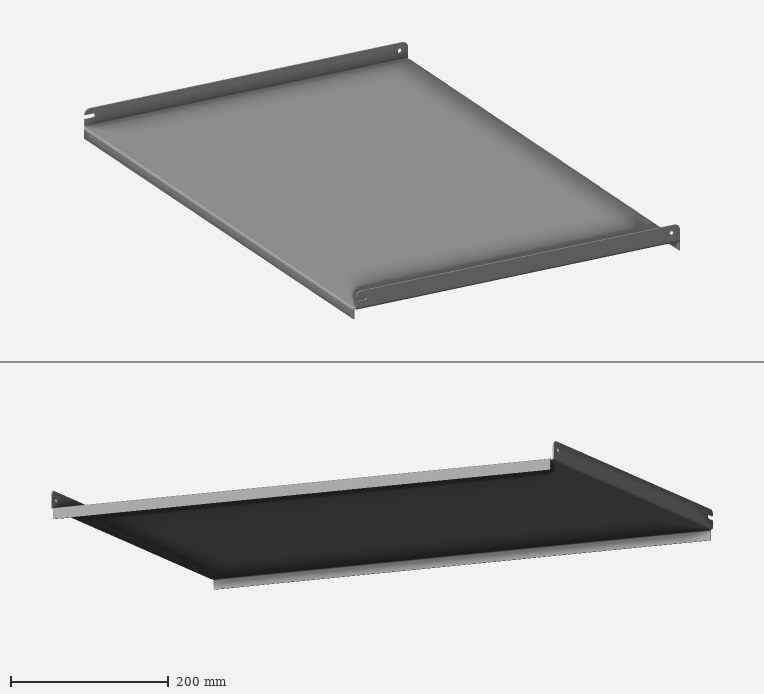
import cadquery as cq

length = 706.0
width = 475.0
height = 38.0

sheet = 1.85
outer_bend = 3.2
inner_bend = outer_bend - sheet
lip_depth = 15.0
floor_top = lip_depth
floor_bottom = floor_top - sheet

wall_setback = 3.0
lip_setback = 4.0
wall_length = width - 2 * wall_setback
lip_length = length - 2 * lip_setback
wall_corner = 7.0

hole_diameter = 6.0
hole_inset = 12.0
hole_height = 27.5


def centred_box(x_size, y_size, z_low, z_high):
    box = cq.Workplane("XY").box(x_size, y_size, z_high - z_low, centered=(True, True, False))
    return box.translate((0, 0, z_low))


def make_tray():
    """Floor with upturned side walls, bent from one sheet."""
    outer = centred_box(length, wall_length, floor_bottom, height)
    outer = outer.edges("|Y and <Z").fillet(outer_bend)
    inner = centred_box(length - 2 * sheet, wall_length, floor_top, height)
    inner = inner.edges("|Y and <Z").fillet(inner_bend)
    tray = outer.cut(inner)
    return tray.edges("|X and >Z").fillet(wall_corner)


def make_lips():
    """Floor with downturned front and rear lips, bent from the same sheet."""
    outer = centred_box(lip_length, width, 0, floor_top)
    outer = outer.edges("|X and >Z").fillet(outer_bend)
    inner = centred_box(lip_length, width - 2 * sheet, 0, floor_bottom)
    inner = inner.edges("|X and >Z").fillet(inner_bend)
    return outer.cut(inner)


def make_wall_openings():
    """Cutters through both walls: round rear holes and open-ended front slots."""
    centre_y = wall_length / 2 - hole_inset
    wall_plane = cq.Workplane("YZ", origin=(0, 0, hole_height))
    holes = (
        wall_plane.pushPoints([(centre_y, 0), (-centre_y, 0)])
        .circle(hole_diameter / 2)
        .extrude(length / 2, both=True)
    )
    slots = (
        wall_plane.center(-centre_y - hole_inset / 2, 0)
        .rect(hole_inset, hole_diameter)
        .extrude(length / 2, both=True)
    )
    return holes.union(slots)


result = make_tray().union(make_lips()).cut(make_wall_openings())